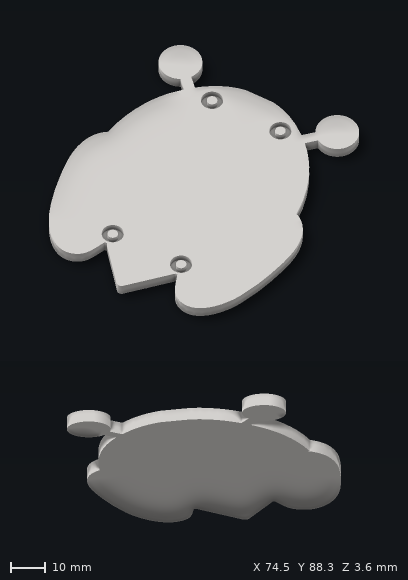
import cadquery as cq
import math

THICKNESS = 3.6

HEAD_AXIS_X = -0.6
CROWN_HALF_WIDTH = 4.6
CROWN_Y = 38.1
HEAD_BASE_Y = 4.7
HEAD_HALF_WIDTH = 31.6
DOME_SIDE = [(29.6, 14.0), (25.5, 22.9), (17.6, 31.8), (9.6, 36.7)]

WING_SHOULDER = (31.4, 4.9)
WING_SIDE = [(35.5, 0.8), (37.22, -6.0), (36.4, -14.8), (33.1, -27.3), (28.4, -36.1)]
WING_LOBE = [(20.4, -40.85), (15.7, -39.0), (13.3, -34.9)]
NOTCH = (12.2, -32.1)

TAIL_TIP = (-0.4, -44.13)
TAIL_TIP_SHOULDER = (1.15, 0.6)
TAIL_ROOT_HALF_WIDTH = 11.5

KNOB_RADIUS = 6.4
KNOB_OFFSET_X = 26.4
KNOB_Y = 37.73
STEM_WIDTH = 3.2
STEM_LENGTH = 16.0
STEM_ANGLE = 45.0

PIN_DIAMETER = 3.1
POCKET_DIAMETER = 6.5
POCKET_DEPTH = 2.0
PIN_SPACING_X = 23.0
PIN_SPACING_Y = 58.0
PIN_PATTERN_CENTER = (-0.3, 0.85)


def mirrored(points):
    """Mirror points about X = 0 and reverse their order."""
    return [(-x, y) for x, y in reversed(points)]


def make_head():
    """Dome above the wing shoulders."""
    right = [(HEAD_HALF_WIDTH, HEAD_BASE_Y)] + DOME_SIDE + [(CROWN_HALF_WIDTH, CROWN_Y)]
    left = mirrored(right)
    return (
        cq.Workplane("XY", origin=(HEAD_AXIS_X, 0, 0))
        .moveTo(*right[0])
        .spline(right[1:], includeCurrent=True)
        .lineTo(*left[0])
        .spline(left[1:], includeCurrent=True)
        .close()
        .extrude(THICKNESS)
    )


def make_wings_and_tail():
    """Lower body: both wing lobes with the pointed tail between them."""
    right = [WING_SHOULDER] + WING_SIDE + WING_LOBE + [NOTCH]
    left = mirrored(right)
    tip_x, tip_y = TAIL_TIP
    shoulder_x, shoulder_height = TAIL_TIP_SHOULDER
    shoulder_y = tip_y + shoulder_height
    return (
        cq.Workplane("XY")
        .moveTo(*right[0])
        .spline(right[1:], includeCurrent=True)
        .lineTo(TAIL_ROOT_HALF_WIDTH, NOTCH[1])
        .lineTo(tip_x + shoulder_x, shoulder_y)
        .threePointArc(TAIL_TIP, (tip_x - shoulder_x, shoulder_y))
        .lineTo(-TAIL_ROOT_HALF_WIDTH, NOTCH[1])
        .lineTo(*left[0])
        .spline(left[1:], includeCurrent=True)
        .close()
        .extrude(THICKNESS)
    )


def make_antenna(side):
    """Knob and stem; side is -1 for the left antenna and +1 for the right one."""
    knob_x = HEAD_AXIS_X + side * KNOB_OFFSET_X
    knob = cq.Workplane("XY").center(knob_x, KNOB_Y).circle(KNOB_RADIUS).extrude(THICKNESS)
    reach = STEM_LENGTH / 2
    stem_x = knob_x - side * reach * math.cos(math.radians(STEM_ANGLE))
    stem_y = KNOB_Y - reach * math.sin(math.radians(STEM_ANGLE))
    stem = (
        cq.Workplane("XY")
        .center(stem_x, stem_y)
        .transformed(rotate=(0, 0, side * STEM_ANGLE))
        .rect(STEM_LENGTH, STEM_WIDTH)
        .extrude(THICKNESS)
    )
    return knob.union(stem)


def make_pin_pockets():
    """Ring-shaped cutters that leave a pin in the middle of each pocket."""
    return (
        cq.Workplane("XY", origin=(*PIN_PATTERN_CENTER, THICKNESS))
        .rect(PIN_SPACING_X, PIN_SPACING_Y, forConstruction=True)
        .vertices()
        .circle(POCKET_DIAMETER / 2)
        .circle(PIN_DIAMETER / 2)
        .extrude(-POCKET_DEPTH)
    )


body = make_head().union(make_wings_and_tail())
for antenna_side in (-1, 1):
    body = body.union(make_antenna(antenna_side))

result = body.cut(make_pin_pockets())